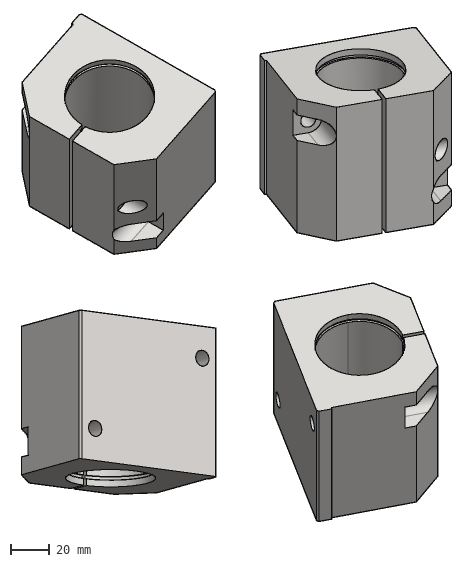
import cadquery as cq

width = 87.0
depth = 70.0
height = 79.0
x_max = width / 2
y_max = depth / 2

front_chamfer = 16.0
rear_chamfer = 1.0
ledge_step = 1.0
ledge_length = 8.0

bore_diameter = 47.0
groove_diameter = 49.5
groove_width = 1.85
groove_inset = 3.65
slit_width = 2.0

mount_x = 34.0
mount_end_distance = 17.0
mount_hole_diameter = 8.38
recess_width = 15.0
recess_depth = 22.0

clamp_recess_diameter = 11.0
clamp_recess_y = -28.0
clamp_recess_floor_x = x_max - front_chamfer
clamp_recess_z = height / 2


def make_block():
    side_x = -x_max + ledge_step
    outline = [
        (side_x + front_chamfer, -y_max),
        (x_max - front_chamfer, -y_max),
        (x_max, -y_max + front_chamfer),
        (x_max, y_max - rear_chamfer),
        (x_max - rear_chamfer, y_max),
        (-x_max + rear_chamfer, y_max),
        (-x_max, y_max - rear_chamfer),
        (-x_max, y_max - ledge_length),
        (side_x, y_max - ledge_length),
        (side_x, -y_max + front_chamfer),
    ]
    return cq.Workplane("XY").polyline(outline).close().extrude(height)


def make_bore():
    bore = cq.Workplane("XY").circle(bore_diameter / 2).extrude(height)
    for groove_z in (groove_inset, height - groove_inset - groove_width):
        groove = (
            cq.Workplane("XY")
            .workplane(offset=groove_z)
            .circle(groove_diameter / 2)
            .extrude(groove_width)
        )
        bore = bore.union(groove)
    return bore


def make_slit():
    slit_centre_y = -y_max / 2
    return (
        cq.Workplane("XY")
        .center(0, slit_centre_y)
        .rect(slit_width, y_max)
        .extrude(height)
    )


def make_mount_cut(side, z):
    """Through hole with a round-ended recess open to one side (side = -1 or +1 along X)."""
    front = cq.Workplane("XZ", origin=(side * mount_x, -y_max, z))
    hole = front.circle(mount_hole_diameter / 2).extrude(-depth)
    round_end = front.circle(recess_width / 2).extrude(-recess_depth)
    opening_length = x_max - mount_x
    opening = (
        front.center(side * opening_length / 2, 0)
        .rect(opening_length, recess_width)
        .extrude(-recess_depth)
    )
    return hole.union(round_end).union(opening)


def make_clamp_recess():
    return (
        cq.Workplane("YZ", origin=(clamp_recess_floor_x, clamp_recess_y, clamp_recess_z))
        .circle(clamp_recess_diameter / 2)
        .extrude(front_chamfer)
    )


result = make_block().cut(make_bore()).cut(make_slit())
result = result.cut(make_mount_cut(-1, height - mount_end_distance))
result = result.cut(make_mount_cut(1, mount_end_distance))
result = result.cut(make_clamp_recess())